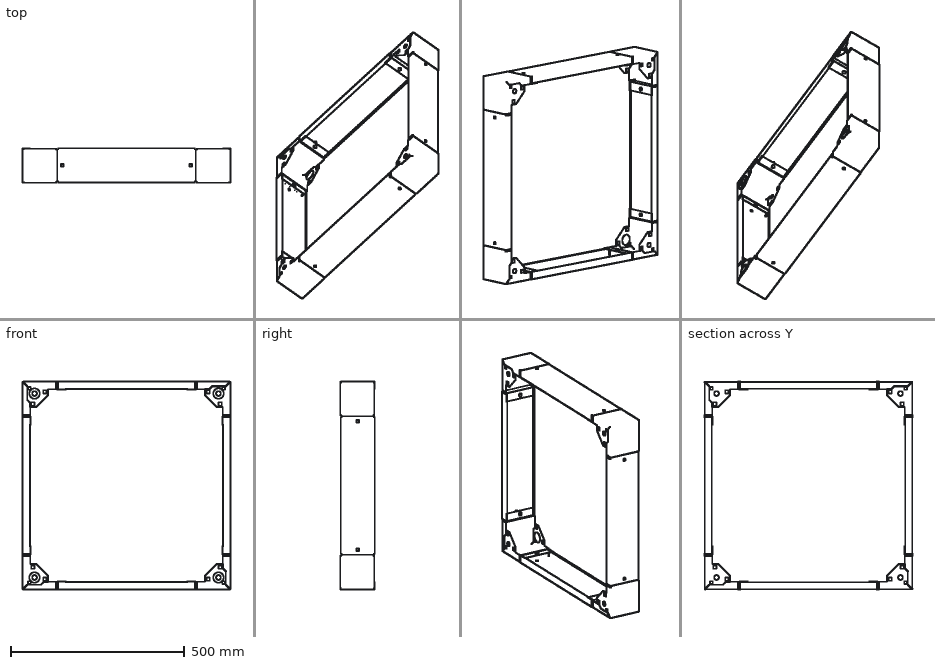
import cadquery as cq

FRAME_SIZE = 600.0
FRAME_DEPTH = FRAME_SIZE / 6
SHEET = 1.5
BODY_DEPTH = 99.0
BODIES_PER_KIND = 4

CORNER_BEND = 3.0
CORNER_FLANGE = 23.0
CORNER_LENGTH = 100.0
GUSSET_REACH = 74.0
GUSSET_SHOULDER = 40.0
SEAM_WIDTH = 0.5
SEAM_OFFSET = 14.0
SEAM_TURN = 53.0
CENTRE_HOLE_OFFSET = 35.0
FRONT_HOLE_DIAMETER = 30.0
REAR_HOLE_DIAMETER = 13.0
INNER_HOLE_OFFSET = 20.0
INNER_HOLE_SIDE = 7.0
OUTER_HOLE_NEAR = 30.0
OUTER_HOLE_FAR = 65.0
OUTER_HOLE_SIDE = 9.0

PANEL_BEND = 2.5
PANEL_FLANGE = 22.0
LIP = 6.0
TAB_LENGTH = 25.0
SCREW_HOLE_DIAMETER = 7.0
TAB_HOLE_DIAMETER = 9.5
SCREW_HOLE_OFFSET = 114.5

HALF = FRAME_SIZE / 2
HALF_DEPTH = BODY_DEPTH / 2
DEPTH_SHIFT = (FRAME_DEPTH - BODY_DEPTH) / 2
CORNER_FOLD_WIDTH = BODY_DEPTH - 2 * CORNER_BEND
PANEL_FOLD_WIDTH = BODY_DEPTH - 2 * PANEL_BEND
PANEL_LENGTH = FRAME_SIZE - 2 * CORNER_LENGTH
TAB_HEIGHT = PANEL_FLANGE + SHEET


def block(x_range, y_range, z_range):
    """Box spanning the given (low, high) ranges."""
    (x0, x1), (y0, y1), (z0, z1) = x_range, y_range, z_range
    box = cq.Workplane("XY").box(x1 - x0, y1 - y0, z1 - z0, centered=False)
    return box.translate((x0, y0, z0))


def prism(outline):
    """Prism through the whole depth from an outline in the XZ plane."""
    return outline.extrude(HALF_DEPTH, both=True)


def copies_around_frame(body):
    """Quarter-turn copies of a body about the frame's Y axis."""
    return [
        body.rotate((0, 0, 0), (0, 1, 0), 360 / BODIES_PER_KIND * turn).val()
        for turn in range(BODIES_PER_KIND)
    ]




def corner_shell():
    """Closed hollow box with rounded bends on all its edges."""
    side = (0, CORNER_LENGTH)
    inner_side = (SHEET, CORNER_LENGTH - SHEET)
    inner_depth = HALF_DEPTH - SHEET
    outer = block(side, (-HALF_DEPTH, HALF_DEPTH), side).edges().fillet(CORNER_BEND)
    inner = block(inner_side, (-inner_depth, inner_depth), inner_side).edges().fillet(CORNER_BEND - SHEET)
    return outer.cut(inner)


def corner_outline():
    """L-shaped legs joined by the chamfered gusset."""
    return prism(
        cq.Workplane("XZ").polyline([
            (0, 0),
            (CORNER_LENGTH, 0),
            (CORNER_LENGTH, CORNER_FLANGE),
            (GUSSET_REACH, CORNER_FLANGE),
            (GUSSET_REACH, GUSSET_SHOULDER),
            (GUSSET_SHOULDER, GUSSET_REACH),
            (CORNER_FLANGE, GUSSET_REACH),
            (CORNER_FLANGE, CORNER_LENGTH),
            (0, CORNER_LENGTH),
        ]).close()
    )


def seam_slit():
    """Slit along the mitre, the gusset edge and the flange edge of the lower leg."""
    low = SEAM_OFFSET - SEAM_WIDTH
    rise = CORNER_FLANGE - SEAM_OFFSET
    run_out = SEAM_TURN + rise
    mitre = CORNER_BEND
    return prism(
        cq.Workplane("XZ").polyline([
            (mitre, mitre),
            (mitre + SEAM_WIDTH, mitre),
            (SEAM_OFFSET, low),
            (SEAM_TURN, low),
            (run_out, CORNER_FLANGE - SEAM_WIDTH),
            (GUSSET_REACH, CORNER_FLANGE - SEAM_WIDTH),
            (GUSSET_REACH, CORNER_FLANGE),
            (run_out, CORNER_FLANGE),
            (SEAM_TURN, SEAM_OFFSET),
            (low, SEAM_OFFSET),
            (mitre, mitre + SEAM_WIDTH),
        ]).close()
    )


def cylinder(x, z, diameter, y_range):
    """Round cutter along Y between two depths."""
    start, end = y_range
    return (
        cq.Workplane("XZ", origin=(0, start, 0)).center(x, z).circle(diameter / 2).extrude(start - end)
    )


def square_hole(x, z, side):
    """Square cutter along Y through both gussets."""
    return prism(cq.Workplane("XZ").center(x, z).rect(side, side))


def corner_holes():
    """Access hole in front, smaller hole behind it and three square holes in both gussets."""
    centre, inner = CENTRE_HOLE_OFFSET, INNER_HOLE_OFFSET
    near, far = OUTER_HOLE_NEAR, OUTER_HOLE_FAR
    cutters = cylinder(centre, centre, FRONT_HOLE_DIAMETER, (-HALF_DEPTH, 0))
    cutters = cutters.union(cylinder(centre, centre, REAR_HOLE_DIAMETER, (0, HALF_DEPTH)))
    cutters = cutters.union(square_hole(inner, inner, INNER_HOLE_SIDE))
    cutters = cutters.union(square_hole(near, far, OUTER_HOLE_SIDE))
    return cutters.union(square_hole(far, near, OUTER_HOLE_SIDE))


def corner_reliefs():
    """Notches that free the end folds from the flanges."""
    end = (CORNER_LENGTH - CORNER_BEND, CORNER_LENGTH)
    leg = (0, CORNER_FLANGE)
    front = (-HALF_DEPTH, -CORNER_FOLD_WIDTH / 2)
    rear = (CORNER_FOLD_WIDTH / 2, HALF_DEPTH)
    reliefs = cq.Workplane("XY")
    for side in (front, rear):
        reliefs = reliefs.add(block(end, side, leg))
        reliefs = reliefs.add(block(leg, side, end))
    return reliefs.combine()


def corner_bracket():
    bracket = corner_shell().intersect(corner_outline())
    bracket = bracket.cut(seam_slit()).cut(corner_holes()).cut(corner_reliefs())
    return bracket.translate((-HALF, -DEPTH_SHIFT, -HALF))




def panel_box(length, width, height, bottom=0.0):
    """Box centred on X and Y, standing on the given Z."""
    return cq.Workplane("XY", origin=(0, 0, bottom)).box(length, width, height, (True, True, False))


def panel_channel():
    """C-shaped channel with flanges and return lips."""
    length = PANEL_LENGTH - 2 * PANEL_BEND
    inner_width = BODY_DEPTH - 2 * SHEET
    inner_height = PANEL_FLANGE - 2 * SHEET
    outer = panel_box(length, BODY_DEPTH, PANEL_FLANGE).edges("|X").fillet(PANEL_BEND)
    cavity = panel_box(length, inner_width, inner_height, SHEET).edges("|X").fillet(PANEL_BEND - SHEET)
    opening = panel_box(length, BODY_DEPTH - 2 * LIP, PANEL_FLANGE, PANEL_FLANGE / 2)
    return outer.cut(cavity).cut(opening)


def panel_end_folds():
    """Strip along the panel whose ends fold up and then inwards into tabs."""
    width = PANEL_FOLD_WIDTH
    inner_length = PANEL_LENGTH - 2 * SHEET
    inner_height = TAB_HEIGHT - 2 * SHEET
    outer = panel_box(PANEL_LENGTH, width, TAB_HEIGHT).edges("|Y").fillet(PANEL_BEND)
    cavity = panel_box(inner_length, width, inner_height, SHEET).edges("|Y").fillet(PANEL_BEND - SHEET)
    opening = panel_box(PANEL_LENGTH - 2 * TAB_LENGTH, width, TAB_HEIGHT, TAB_HEIGHT / 2)
    return outer.cut(cavity).cut(opening)


def end_holes(diameter, bottom, top):
    """Pair of round cutters, one near each panel end."""
    reach = HALF - SCREW_HOLE_OFFSET
    points = [(-reach, 0), (reach, 0)]
    plane = cq.Workplane("XY", origin=(0, 0, bottom))
    return plane.pushPoints(points).circle(diameter / 2).extrude(top - bottom)


def side_panel():
    panel = panel_channel().union(panel_end_folds())
    panel = panel.cut(end_holes(SCREW_HOLE_DIAMETER, 0, SHEET))
    panel = panel.cut(end_holes(TAB_HOLE_DIAMETER, PANEL_FLANGE, TAB_HEIGHT))
    return panel.translate((0, DEPTH_SHIFT, -HALF))


corner_brackets = copies_around_frame(corner_bracket())
side_panels = copies_around_frame(side_panel())

result = cq.Compound.makeCompound([*corner_brackets, *side_panels])